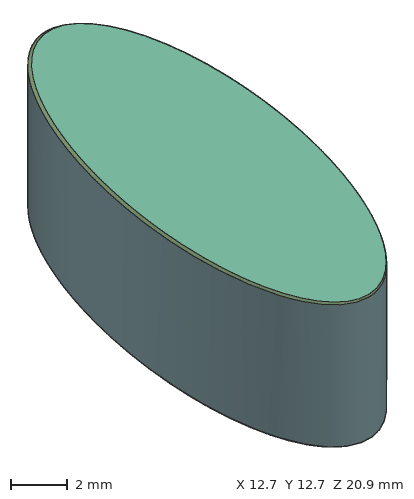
import cadquery as cq
import math


diameter = 12.7
overall_height = 20.9
face_tilt = 45.0
bevel = 0.08

radius = diameter / 2
tilt = math.radians(face_tilt)

inner_radius = radius - bevel
inner_shift = bevel * math.sin(tilt)

inner_height = overall_height / 2 - inner_radius * math.tan(tilt)
face_height = inner_height + inner_shift * math.tan(tilt)
outer_height = face_height - bevel / math.cos(tilt)
outer_tilt = math.atan(math.tan(tilt) * inner_radius / radius)


def tilted_plane(center_y, center_z, angle):
    """Plane that climbs toward -Y at the given angle."""
    normal = (0, math.sin(angle), math.cos(angle))
    return cq.Plane(origin=(0, center_y, center_z), xDir=(1, 0, 0), normal=normal)


def rim(plan_radius, center_y, center_z, angle):
    """Ellipse on a tilted plane that looks like a circle from above."""
    plane = tilted_plane(center_y, center_z, angle)
    return cq.Workplane(plane).ellipse(plan_radius, plan_radius / math.cos(angle)).wire().val()


def bevelled_end():
    """Upper end cap: a thin ruled frustum from the outer rim to the inner rim."""
    outer_rim = rim(radius, 0, outer_height, outer_tilt)
    inner_rim = rim(inner_radius, inner_shift, inner_height, tilt)
    return cq.Workplane(cq.Solid.makeLoft([outer_rim, inner_rim], True))


def wall():
    """Cylinder between the outer rims of the two bevels."""
    rise = radius * math.tan(outer_tilt)
    side_profile = [
        (-radius, rise - outer_height),
        (radius, -rise - outer_height),
        (radius, -rise + outer_height),
        (-radius, rise + outer_height),
    ]
    slab = cq.Workplane("YZ").polyline(side_profile).close().extrude(radius, both=True)
    cylinder = cq.Workplane("XY").circle(radius).extrude(overall_height / 2, both=True)
    return cylinder.intersect(slab)


upper_end = bevelled_end()
lower_end = upper_end.rotate((0, 0, 0), (1, 0, 0), 180)
result = wall().union(upper_end).union(lower_end)